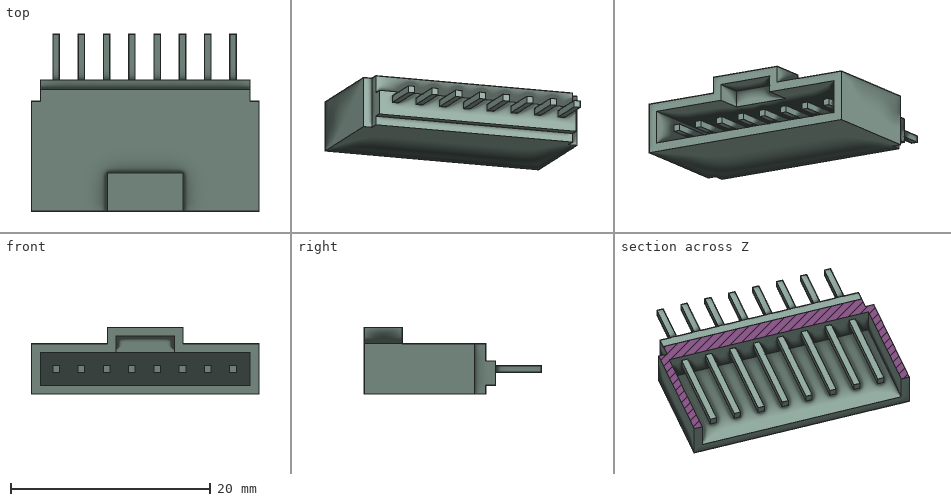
import cadquery as cq


housing_width = 22.85
housing_height = 5.07
wide_depth = 11.06
neck_depth = 1.15
wall = 0.9
housing_depth = wide_depth + neck_depth
neck_width = housing_width - 2 * wall

rail_depth = 0.98
rail_height = 2.45
rail_bottom = wall

key_width = 7.61
key_height = 1.65
key_depth = 3.85

cavity_width = housing_width - 2 * wall
cavity_height = housing_height - 2 * wall
cavity_depth = wide_depth - wall

pin_count = 8
pin_pitch = 2.54
pin_size = 0.66
pin_tip_recess = 1.25
pin_tail_length = 4.6
pin_row_offset = -0.07
pin_tail_end = housing_depth + rail_depth + pin_tail_length


def block(width, front, back, bottom, top):
    """Box centred on X = 0 between the given Y and Z limits."""
    return (
        cq.Workplane("XY")
        .box(width, back - front, top - bottom, centered=(True, False, False))
        .translate((0, front, bottom))
    )


def make_housing():
    wide_part = block(housing_width, 0, wide_depth, 0, housing_height)
    neck = block(neck_width, 0, housing_depth, 0, housing_height)
    rail = block(
        neck_width, 0, housing_depth + rail_depth, rail_bottom, rail_bottom + rail_height
    )
    key = block(key_width, 0, key_depth, 0, housing_height + key_height)
    return wide_part.union(neck).union(rail).union(key)


def make_cavity():
    main_pocket = block(cavity_width, 0, cavity_depth, wall, wall + cavity_height)
    keyway = block(
        key_width - 2 * wall, 0, key_depth - wall, wall, housing_height + key_height - wall
    )
    return main_pocket.union(keyway)


def make_pin(x):
    pin_bottom = (housing_height - pin_size) / 2
    pin = block(pin_size, pin_tip_recess, pin_tail_end, pin_bottom, pin_bottom + pin_size)
    return pin.translate((x, 0, 0))


result = make_housing().cut(make_cavity())
for index in range(pin_count):
    pin_x = pin_row_offset + (index - (pin_count - 1) / 2) * pin_pitch
    result = result.union(make_pin(pin_x))